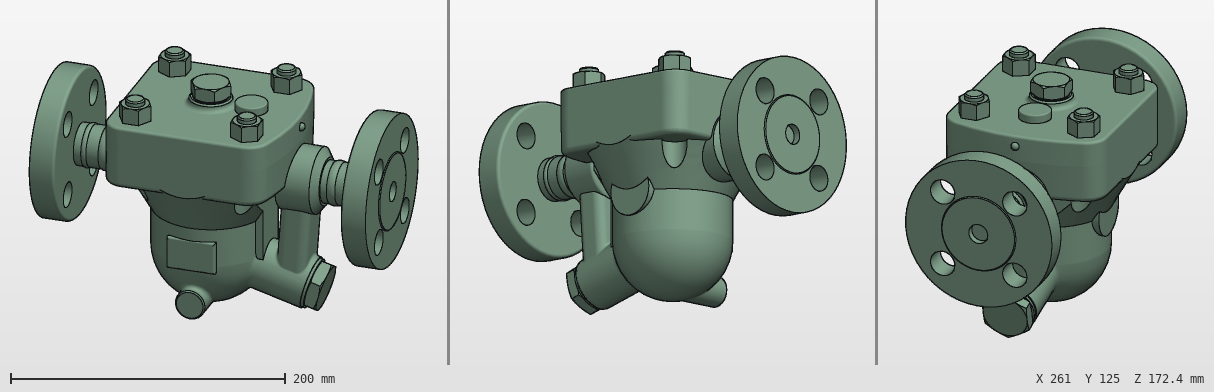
import cadquery as cq
import math

body_x = -10.0

run_half = 130.5
flange_dia = 115.0
flange_thick = 19.3
flange_round = 2.3
raised_face_dia = 58.5
raised_face_height = 0.8
bore_dia = 15.0
bore_depth = 5.7
bolt_hole_dia = 19.0
bolt_circle_dia = 80.0
bolt_hole_count = 4
first_bolt_angle = 45
pipe_dia = 32.0
weld_height = 0.8
outer_weld = (100.7, 104.7)
inner_weld = (84.8, 91.4)
hub_dia = 50.0
hub_tip_dia = 36.0
hub_tip_x = 79.9
hub_shoulder_x = 74.6
left_hub_end_x = 41.8
right_hub_end_x = 47.5
right_hub_round = 2.0

cover_width = 125.0
cover_left = -63.0
cover_right = 69.5
lower_right = 67.0
cover_corner_x = 57.5
cover_corner_radius = 14.4
crown_corner_radius = 17.0
cover_top = 48.8
parting_z = 29.5
cover_bottom = 0.8
cover_top_round = 2.0
cover_bottom_round = 3.7

stud_spacing = 86.0
stud_dia = 14.0
stud_top = 65.2
stud_chamfer = 1.0
nut_corner_dia = 24.0
nut_top = 61.3
nut_chamfer = 0.8
nut_clearance_radius = 9.1
nut_turns = (90, 0, 0, 90)

collar_dia = 32.0
collar_base_dia = 40.0
collar_height = 6.0
collar_chamfer = 1.3
plug_neck_dia = 26.5
plug_neck_height = 0.8
plug_corner_dia = 30.8
plug_top = 66.0
plug_chamfer = 1.3
side_boss_x = 31.3
side_boss_dia = 24.0
side_boss_height = 6.3
side_boss_round = 1.0
rivet_radius = 3.1
rivet_z = 41.0

bowl_radius = 43.8
bowl_centre_z = -62.6
bowl_top_z = -32.4
neck_top_radius = 65.2
neck_top_z = 5.2
flat_pad_top_z = -19.0
flat_x = 46.2
flat_pad_half_width = 16.7

plate_width = 37.0
plate_y = 44.5
plate_depth = 4.2
plate_bottom_z = -66.8
plate_top_z = -42.3
plate_round = 1.3
back_boss_dia = 38.0
back_boss_y = 45.2
back_boss_z = -30.5

drain_z = -93.5
drain_dia = 22.7
drain_face_y = -46.2
drain_chamfer = 1.0
drain_root_y = -7.8
drain_root_round = 2.5

arm_tilt = 15.0
arm_dia = 40.0
arm_length = 80.0
arm_root_round = 4.0
washer_dia = 38.0
washer_thick = 2.3
cap_corner_dia = 40.0
cap_thick = 9.5
cap_chamfer = 1.0
duct_length_x = 23.2
duct_width_y = 33.0
duct_corner_round = 6.8
duct_root_round = 2.0
duct_tilt = 4.0
duct_foot_x = 65.8
duct_foot_z = -78.3
duct_height = 78.3


def disc(radius, z_low, z_high, x=0.0, y=0.0):
    """Upright cylinder between two heights."""
    return cq.Workplane("XY", origin=(x, y, z_low)).circle(radius).extrude(z_high - z_low)


def block(x_range, y_range, z_range):
    """Box given by its low and high limits on each axis."""
    size = [high - low for low, high in (x_range, y_range, z_range)]
    corner = (x_range[0], y_range[0], z_range[0])
    return cq.Workplane("XY").box(*size, centered=False).translate(corner)


def hex_head(corner_dia, height, chamfer, both_ends=False):
    """Hexagon with corners on +-X, turned down to a cone at the top or at both ends."""
    corner_radius = corner_dia / 2
    turned_radius = corner_radius * math.cos(math.pi / 6)
    prism = cq.Workplane("XY").polygon(6, corner_dia).extrude(height)
    envelope = disc(corner_radius, 0, height)
    rims = envelope.edges("%CIRCLE") if both_ends else envelope.faces(">Z").edges()
    return prism.intersect(rims.chamfer(chamfer, corner_radius - turned_radius))


def blended(base, branch, radius):
    """Join a branch to a base and round the edges where their surfaces meet."""
    same_place = 0.03
    known = [edge.Center() for edge in base.edges().vals() + branch.edges().vals()]
    joined = base.union(branch)
    seams = [
        edge
        for edge in joined.edges().vals()
        if edge.geomType() != "LINE" and all((edge.Center() - place).Length > same_place for place in known)
    ]
    return joined.newObject(seams).fillet(radius)


def pipe_run(hub_end_x):
    """Flange, pipe, weld beads and hub on +X, ending inside the body at hub_end_x."""
    flange_face = run_half - raised_face_height
    flange_back = flange_face - flange_thick
    flange_radius = flange_dia / 2
    pipe_radius = pipe_dia / 2
    raised_radius = raised_face_dia / 2
    profile = (
        cq.Workplane("XY")
        .moveTo(hub_end_x, 0)
        .lineTo(hub_end_x, hub_dia / 2)
        .lineTo(hub_shoulder_x, hub_dia / 2)
        .lineTo(hub_tip_x, hub_tip_dia / 2)
        .lineTo(hub_tip_x, pipe_radius)
    )
    for start, end in (inner_weld, outer_weld):
        crest = ((start + end) / 2, pipe_radius + weld_height)
        profile = profile.lineTo(start, pipe_radius).threePointArc(crest, (end, pipe_radius))
    run = (
        profile.lineTo(flange_back, pipe_radius)
        .lineTo(flange_back, flange_radius - flange_round)
        .radiusArc((flange_back + flange_round, flange_radius), flange_round)
        .lineTo(flange_face, flange_radius)
        .lineTo(flange_face, raised_radius)
        .lineTo(run_half, raised_radius - raised_face_height)
        .lineTo(run_half, 0)
        .close()
        .revolve(360, (0, 0, 0), (1, 0, 0))
    )
    bolt_holes = (
        cq.Workplane("YZ", origin=(flange_back, 0, 0))
        .polarArray(bolt_circle_dia / 2, first_bolt_angle, 360, bolt_hole_count)
        .circle(bolt_hole_dia / 2)
        .extrude(flange_thick)
    )
    bore = cq.Workplane("YZ", origin=(run_half, 0, 0)).circle(bore_dia / 2).extrude(-bore_depth)
    return run.cut(bolt_holes).cut(bore)


def cover_outline(plane, crown_x):
    """Square outline whose right side bows out to crown_x."""
    half = cover_width / 2
    return (
        plane.moveTo(cover_corner_x, -half)
        .threePointArc((crown_x, 0), (cover_corner_x, half))
        .lineTo(cover_left, half)
        .lineTo(cover_left, -half)
        .close()
    )


def upright_edges(slab, corner_x):
    """The two upright corner edges of a cover slab at corner_x."""
    margin = 1.3
    half = cover_width / 2
    middle_z = slab.val().Center().z
    reach_z = (parting_z - cover_bottom) / 4
    near_corner = cq.selectors.BoxSelector(
        (corner_x - margin, -half - margin, middle_z - reach_z),
        (corner_x + margin, half + margin, middle_z + reach_z),
    )
    between_corners = cq.selectors.BoxSelector(
        (corner_x - margin, margin - half, middle_z - reach_z),
        (corner_x + margin, half - margin, middle_z + reach_z),
    )
    return slab.edges(near_corner - between_corners)


def round_corners(slab):
    """Round the four upright corners of a cover slab."""
    slab = upright_edges(slab, cover_left).fillet(cover_corner_radius)
    return upright_edges(slab, cover_corner_x).fillet(crown_corner_radius)


def cover():
    """Cover over the body flange, whose bowed side leans in towards the bottom."""
    upper = cover_outline(cq.Workplane("XY", origin=(0, 0, parting_z)), cover_right)
    upper = round_corners(upper.extrude(cover_top - parting_z))
    upper = upper.faces(">Z").edges().fillet(cover_top_round)
    lower = cover_outline(cq.Workplane("XY", origin=(0, 0, cover_bottom)), lower_right)
    lower = cover_outline(lower.workplane(offset=parting_z - cover_bottom), cover_right).loft(ruled=True)
    lower = round_corners(lower)
    lower = lower.faces("<Z").edges().fillet(cover_bottom_round)
    return upper.union(lower)


def stud_places():
    """Stud centres in order: back left, back right, front left, front right."""
    half = stud_spacing / 2
    return [(-half, half), (half, half), (-half, -half), (half, -half)]


def stud_and_nut(x, y, turn):
    """One stud end standing above its nut, the nut turned about its axis."""
    nut = hex_head(nut_corner_dia, nut_top - cover_top, nut_chamfer)
    nut = nut.rotate((0, 0, 0), (0, 0, 1), turn).translate((x, y, cover_top))
    stud = disc(stud_dia / 2, cover_top, stud_top, x, y).faces(">Z").chamfer(stud_chamfer)
    return nut.union(stud)


def top_plug():
    """Collar flowing into the cover, with a hexagon plug on a short neck."""
    collar_radius = collar_dia / 2
    base_radius = collar_base_dia / 2
    sweep = base_radius - collar_radius
    collar_top = cover_top + collar_height
    bend = sweep * (1 - math.sqrt(0.5))
    collar = (
        cq.Workplane("XZ")
        .moveTo(0, cover_top)
        .lineTo(base_radius, cover_top)
        .threePointArc((collar_radius + bend, cover_top + bend), (collar_radius, cover_top + sweep))
        .lineTo(collar_radius, collar_top - collar_chamfer)
        .lineTo(collar_radius - collar_chamfer, collar_top)
        .lineTo(0, collar_top)
        .close()
        .revolve(360, (0, 0, 0), (0, 1, 0))
    )
    plug_bottom = collar_top + plug_neck_height
    plug = hex_head(plug_corner_dia, plug_top - plug_bottom, plug_chamfer, both_ends=True)
    neck_pin = disc(plug_neck_dia / 2, collar_top, plug_bottom)
    return collar.union(neck_pin).union(plug.translate((0, 0, plug_bottom)))


def side_boss():
    """Low round boss beside the top plug."""
    boss = disc(side_boss_dia / 2, cover_top, cover_top + side_boss_height, side_boss_x)
    return boss.faces(">Z").edges().fillet(side_boss_round)


def rivet():
    """Domed rivet on the bowed side of the cover."""
    return cq.Workplane("XY", origin=(cover_right, 0, rivet_z)).sphere(rivet_radius)


def neck():
    """Throat flaring from the bowl to the cover, with clearance under each stud."""
    cone = (
        cq.Workplane("XY", origin=(0, 0, bowl_top_z))
        .circle(bowl_radius)
        .workplane(offset=neck_top_z - bowl_top_z)
        .circle(neck_top_radius)
        .loft()
    )
    half = cover_width / 2
    throat = cone.intersect(block((cover_left, flat_x), (-half, half), (bowl_top_z, neck_top_z)))
    for x, y in stud_places():
        throat = throat.cut(disc(nut_clearance_radius, bowl_top_z, cover_bottom, x, y))
    return throat


def bowl():
    """Round-bottomed bowl with its drain boss and strainer arm blended in."""
    shell = disc(bowl_radius, bowl_centre_z, bowl_top_z)
    shell = shell.union(cq.Workplane("XY", origin=(0, 0, bowl_centre_z)).sphere(bowl_radius))
    shell = blended(shell, drain_boss(), drain_root_round)
    return blended(shell, arm(), arm_root_round)


def flat_pad():
    """Flat-faced pad on the +X side of the bowl, under the neck."""
    sides = (-flat_pad_half_width, flat_pad_half_width)
    return block((0, flat_x), sides, (bowl_centre_z, flat_pad_top_z))


def name_plate():
    """Raised plate on the front of the bowl."""
    sides = (-plate_width / 2, plate_width / 2)
    plate = block(sides, (-plate_y, plate_depth - plate_y), (plate_bottom_z, plate_top_z))
    return plate.faces("<Y").edges().fillet(plate_round)


def back_boss():
    """Round flat-faced boss on the back of the bowl."""
    start = cq.Workplane("XZ", origin=(0, 0, back_boss_z))
    return start.circle(back_boss_dia / 2).extrude(-back_boss_y)


def drain_boss():
    """Round boss pointing to the front near the bottom of the bowl."""
    start = cq.Workplane("XZ", origin=(0, drain_root_y, drain_z))
    boss = start.circle(drain_dia / 2).extrude(drain_root_y - drain_face_y)
    return boss.faces("<Y").chamfer(drain_chamfer)


def tilt_arm(upright):
    """Lay a solid built along +Z onto the sloping arm axis through the bowl centre."""
    return upright.rotate((0, 0, 0), (0, 1, 0), 90 + arm_tilt).translate((0, 0, bowl_centre_z))


def arm():
    """Sloping cylinder leaving the bowl."""
    return tilt_arm(disc(arm_dia / 2, 0, arm_length))


def arm_cap():
    """Washer and hexagon cap closing the arm."""
    cap_start = arm_length + washer_thick
    washer = disc(washer_dia / 2, arm_length, cap_start)
    cap = hex_head(cap_corner_dia, cap_thick, cap_chamfer, both_ends=True).translate((0, 0, cap_start))
    return tilt_arm(washer.union(cap))


def duct():
    """Leaning duct with rounded corners, from the arm up to the hub."""
    tube = cq.Workplane("XY").rect(duct_length_x, duct_width_y).extrude(duct_height)
    tube = tube.edges("|Z").fillet(duct_corner_round)
    return tube.rotate((0, 0, 0), (0, 1, 0), duct_tilt).translate((duct_foot_x, 0, duct_foot_z))


trap = blended(bowl(), duct(), duct_root_round)
trap = trap.union(flat_pad()).union(neck()).union(cover())
trap = trap.union(name_plate()).union(back_boss()).union(arm_cap())
trap = trap.union(top_plug()).union(side_boss()).union(rivet())
for (stud_x, stud_y), nut_turn in zip(stud_places(), nut_turns):
    trap = trap.union(stud_and_nut(stud_x, stud_y, nut_turn))
trap = trap.translate((body_x, 0, 0))

right_run = pipe_run(right_hub_end_x).faces("<X").edges("%CIRCLE").fillet(right_hub_round)
left_run = pipe_run(left_hub_end_x).mirror("YZ")
result = trap.union(right_run).union(left_run)